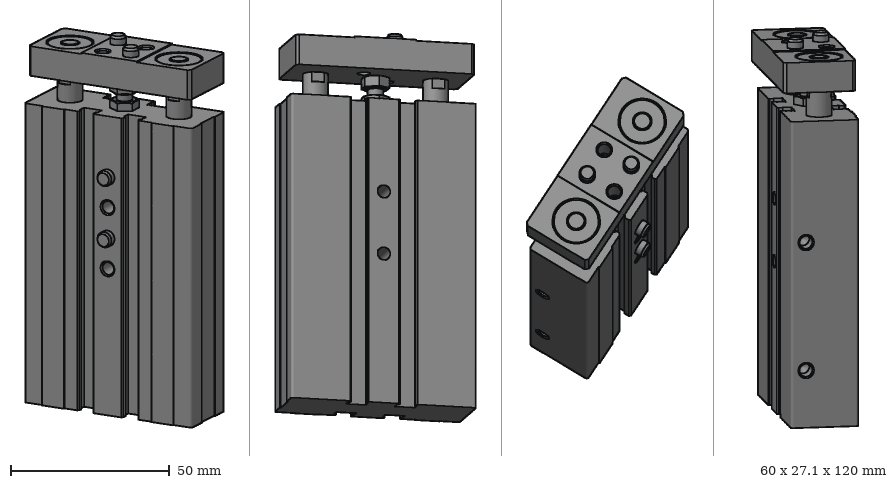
import cadquery as cq
import math


housing_width = 60.0
housing_depth = 21.6
housing_height = 98.0
corner_radius = 0.8
front_y = -housing_depth / 2
rail_depth = 0.4
rod_band_inner_x = 15.6
rod_band_outer_x = 23.5
side_recess_width = 8.9
side_recess_depth = 0.4

slot_center_x = 7.9
slot_mouth_width = 5.2
slot_inner_width = 6.4
slot_lip = 1.8
slot_depth = 4.5
slot_edge_chamfer = 0.5
panel_width = 2 * slot_center_x - slot_mouth_width

hole_diameter = 4.1
hole_mouth_diameter = 5.0
hole_chamfer = (hole_mouth_diameter - hole_diameter) / 2
front_pin_spacing = 20.0
hole_pitch = front_pin_spacing / 2
top_pin_z = 78.1
pin_diameter = 5.0
pin_protrusion = 2.9
pin_insertion = 4.8
pin_chamfer_length = 0.8
pin_chamfer_width = 0.5

port_y = 6.0
port_heights = (18.4, 59.3)
port_depth = 6.0
drill_tip_angle = 118.0

hex_across_flats = 8.0
hex_chamfer_diameter = 7.5
hex_chamfer_height = 0.4
nut_height = 2.8
screw_diameter = 5.0
screw_collar_diameter = 6.8
screw_collar_height = 0.5
screw_head_height = 3.5

plate_width = 58.0
plate_depth = 23.0
plate_back_y = 13.0
plate_thickness = 9.7
plate_gap = 9.0
plate_bottom_z = housing_height + plate_gap
plate_top_z = plate_bottom_z + plate_thickness
plate_corner_chamfer = 1.0
pad_width = 19.9
pad_height = 0.4
pad_top_z = plate_top_z + pad_height

rod_spacing = 39.0
rod_diameter = 8.0
rod_insertion = 24.0
flat_across = 7.0
flat_length = 3.1
rod_head_diameter = 14.0
rod_head_thickness = 3.0
rod_recess_diameter = 15.0
rod_head_drop = 0.2
rod_tip_diameter = 6.0
rod_tip_height = 0.2
rod_tip_chamfer = 0.5
rod_head_top_z = plate_top_z - rod_head_drop
rod_recess_bottom_z = rod_head_top_z - rod_head_thickness

rod_positions = [(side * rod_spacing / 2, 0) for side in (-1, 1)]
front_pin_heights = [top_pin_z, top_pin_z - front_pin_spacing]
front_hole_heights = [z - hole_pitch for z in front_pin_heights]
panel_y = front_y - rail_depth
half_pitch = hole_pitch / 2
plate_pin_points = [(-half_pitch, half_pitch), (half_pitch, -half_pitch)]
plate_hole_points = [(half_pitch, half_pitch), (-half_pitch, -half_pitch)]


def cylinder(diameter, height, z):
    """Upright cylinder on the Z axis that starts at height z."""
    return cq.Workplane("XY", origin=(0, 0, z)).circle(diameter / 2).extrude(height)


def cone(bottom_diameter, top_diameter, height):
    """Upright cone on the Z axis that starts at Z = 0."""
    return cq.Workplane(cq.Solid.makeCone(bottom_diameter / 2, top_diameter / 2, height))


def hole_cutter(depth):
    """Chamfered hole whose mouth lies at Z = 0 and which runs down -Z."""
    mouth = cone(hole_diameter, hole_mouth_diameter, hole_chamfer).translate((0, 0, -hole_chamfer))
    return cylinder(hole_diameter, depth, -depth).union(mouth)


def port_cutter():
    """Chamfered blind hole with a drill tip."""
    tip_height = hole_diameter / 2 / math.tan(math.radians(drill_tip_angle / 2))
    tip = cone(0, hole_diameter, tip_height).translate((0, 0, -port_depth - tip_height))
    return hole_cutter(port_depth).union(tip)


def face_front(shape, z):
    """Turn a shape from +Z to -Y and place its origin on the front panel at height z."""
    return shape.rotate((0, 0, 0), (1, 0, 0), 90).translate((0, panel_y, z))


def face_left(shape, y, z):
    """Turn a shape from +Z to -X and place its origin on the -X side."""
    return shape.rotate((0, 0, 0), (0, 1, 0), -90).translate((-housing_width / 2, y, z))


def upright_box(x_min, x_max, y_min, y_max):
    """Box over the full height of the housing."""
    return (
        cq.Workplane("XY")
        .center((x_min + x_max) / 2, (y_min + y_max) / 2)
        .rect(x_max - x_min, y_max - y_min)
        .extrude(housing_height)
    )


def slot_cutter():
    """T-slot centred on X = 0, open toward -Y at the front face, with chamfered mouth edges."""
    mouth = slot_mouth_width / 2
    inner = slot_inner_width / 2
    half_outline = [
        (mouth + slot_edge_chamfer, front_y),
        (mouth, front_y + slot_edge_chamfer),
        (mouth, front_y + slot_lip),
        (inner, front_y + slot_lip),
        (inner, front_y + slot_depth),
    ]
    mirrored = [(-x, y) for x, y in reversed(half_outline)]
    return cq.Workplane("XY").polyline(half_outline + mirrored).close().extrude(housing_height)


def make_profile():
    """Extruded housing profile with front bands, T-slots and the side recess."""
    half_width = housing_width / 2
    body = cq.Workplane("XY").rect(housing_width, housing_depth).extrude(housing_height)
    body = body.edges("|Z").fillet(corner_radius)
    for side in (-1, 1):
        for turn in (0, 180):
            slot = slot_cutter().translate((side * slot_center_x, 0, 0))
            body = body.cut(slot.rotate((0, 0, 0), (0, 0, 1), turn))
    band_width = rod_band_outer_x - rod_band_inner_x
    for x_min in (-rod_band_outer_x, rod_band_inner_x):
        body = body.union(upright_box(x_min, x_min + band_width, panel_y, front_y + slot_lip))
    panel = upright_box(-panel_width / 2, panel_width / 2, panel_y, front_y + slot_lip)
    panel = panel.edges("|Z and <Y").chamfer(slot_edge_chamfer)
    body = body.union(panel)
    recess = upright_box(
        half_width - side_recess_depth, half_width, -side_recess_width / 2, side_recess_width / 2
    )
    return body.cut(recess)


def hexagon(height, z):
    """Hexagonal prism with two corners on the Y axis and a chamfered top."""
    across_corners = hex_across_flats / math.cos(math.radians(30))
    prism = (
        cq.Workplane("XY", origin=(0, 0, z))
        .transformed(rotate=(0, 0, 90))
        .polygon(6, across_corners)
        .extrude(height)
    )
    lower = cylinder(across_corners, height - hex_chamfer_height, z)
    upper = cone(across_corners, hex_chamfer_diameter, hex_chamfer_height)
    return prism.intersect(lower.union(upper.translate((0, 0, z + height - hex_chamfer_height))))


def make_stop_screw():
    """Hexagon screw and lock nut, fixed on top of the housing."""
    head_z = plate_bottom_z - screw_head_height
    collar_z = head_z - screw_collar_height
    shank = cylinder(screw_diameter, collar_z - housing_height, housing_height)
    collar = cylinder(screw_collar_diameter, screw_collar_height, collar_z)
    nut = hexagon(nut_height, housing_height)
    return nut.union(shank).union(collar).union(hexagon(screw_head_height, head_z))


def make_housing():
    body = make_profile()
    for z in front_hole_heights:
        body = body.cut(face_front(hole_cutter(2 * housing_depth), z))
    pin_hole = cylinder(pin_diameter, pin_insertion, -pin_insertion)
    for z in front_pin_heights:
        body = body.cut(face_front(pin_hole, z))
    for z in port_heights:
        body = body.cut(face_left(port_cutter(), port_y, z))
    for x, y in rod_positions:
        bore = cylinder(rod_diameter, rod_insertion, housing_height - rod_insertion)
        body = body.cut(bore.translate((x, y, 0)))
    return body.union(make_stop_screw())


def make_plate():
    center_y = plate_back_y - plate_depth / 2
    base = cq.Workplane("XY", origin=(0, center_y, plate_bottom_z))
    body = base.rect(plate_width, plate_depth).extrude(plate_thickness)
    body = body.edges("|Z").chamfer(plate_corner_chamfer)
    body = body.union(base.rect(pad_width, plate_depth).extrude(plate_thickness + pad_height))
    for x, y in plate_hole_points:
        body = body.cut(hole_cutter(2 * plate_thickness).translate((x, y, pad_top_z)))
    for x, y in plate_pin_points:
        pin_hole = cylinder(pin_diameter, pin_insertion, pad_top_z - pin_insertion)
        body = body.cut(pin_hole.translate((x, y, 0)))
    for x, y in rod_positions:
        bore = cylinder(rod_diameter, plate_thickness, plate_bottom_z)
        recess = cylinder(rod_recess_diameter, plate_top_z - rod_recess_bottom_z, rod_recess_bottom_z)
        body = body.cut(bore.union(recess).translate((x, y, 0)))
    return body


def make_rod():
    """Piston rod on the Z axis with wrench flats below the plate and a head inside the plate."""
    bottom_z = housing_height - rod_insertion
    flats_z = plate_bottom_z - flat_length
    shaft = cylinder(rod_diameter, flats_z - bottom_z, bottom_z)
    flats = cylinder(rod_diameter, flat_length, flats_z).intersect(
        cq.Workplane("XY", origin=(0, 0, flats_z)).rect(rod_diameter, flat_across).extrude(flat_length)
    )
    neck = cylinder(rod_diameter, rod_recess_bottom_z - plate_bottom_z, plate_bottom_z)
    head = cylinder(rod_head_diameter, rod_head_thickness, rod_recess_bottom_z)
    tip = cone(rod_tip_diameter, rod_tip_diameter - 2 * rod_tip_chamfer, rod_tip_height)
    return shaft.union(flats).union(neck).union(head).union(tip.translate((0, 0, rod_head_top_z)))


def make_pin():
    """Locating pin along Z whose mounting face lies at Z = 0."""
    pin = cylinder(pin_diameter, pin_insertion + pin_protrusion, -pin_insertion)
    return pin.faces(">Z").chamfer(pin_chamfer_length, pin_chamfer_width)


housing = make_housing()
plate = make_plate()
rods = [make_rod().translate((x, y, 0)) for x, y in rod_positions]
plate_pins = [make_pin().translate((x, y, pad_top_z)) for x, y in plate_pin_points]
front_pins = [face_front(make_pin(), z) for z in front_pin_heights]

bodies = [housing, plate, *rods, *plate_pins, *front_pins]
result = cq.Compound.makeCompound([body.solids().val() for body in bodies])